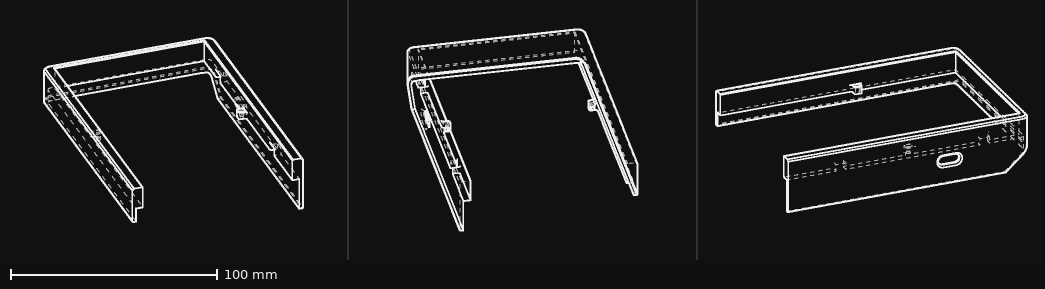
import cadquery as cq
LENGTH = 127.7
WIDTH = 88.3
SKIRT_DEPTH = 28.1
WALL_DEPTH = 18.6

WALL = 1.9
CORNER_RADIUS = 4.0
LIP_DEPTH = 11.4
ARM_WIDTH = 5.5
BACK_WIDTH = 3.3

TOP_OUTER_CHAMFER = 0.9
TOP_INNER_CHAMFER = 0.4
BOTTOM_CHAMFER = 0.4

SLOPE_START_DEPTH = 17.1
SLOPE_RUN = 12.5

BOSS_X_PLUS_Y = 61.0
BOSS_X_MINUS_Y = 56.2
BOSS_WIDTH = 4.0
BOSS_REACH = 3.8
BOSS_HEIGHT = 3.6
BOSS_HOLE_DIAMETER = 2.0
COUNTERSINK_DIAMETER = 3.6
COUNTERSINK_ANGLE = 90

NOTCH_SPACING = 76.1
NOTCH_WIDTH = 5.1
NOTCH_HEIGHT = 3.3

DETAIL_RADIUS = 1.0

SLOT_X = 42.3
SLOT_DEPTH = 15.8
SLOT_LENGTH = 11.2
SLOT_HEIGHT = 4.6
SLOT_CHAMFER = 1.0

HALF_WIDTH = WIDTH / 2
LIP_Y = HALF_WIDTH - ARM_WIDTH
LIP_REACH = ARM_WIDTH - WALL
PAST_END = 2 * LENGTH


def block(x_min, x_max, y_min, y_max, z_min, z_max):
    """Box given by its limits."""
    box = cq.Workplane("XY").box(x_max - x_min, y_max - y_min, z_max - z_min, centered=False)
    return box.translate((x_min, y_min, z_min))


def make_body():
    """Solid body with rounded back corners, a sloped back end and bevelled outer edges."""
    body = block(0, LENGTH, -HALF_WIDTH, HALF_WIDTH, -SKIRT_DEPTH, 0)
    body = body.edges("|Z and <X").fillet(CORNER_RADIUS)
    below_slope = (
        cq.Workplane("XZ")
        .polyline([(0, -SLOPE_START_DEPTH), (SLOPE_RUN, -SKIRT_DEPTH), (0, -SKIRT_DEPTH)])
        .close()
        .extrude(HALF_WIDTH, both=True)
    )
    body = body.cut(below_slope)
    body = body.faces(">Z").edges("not >X").chamfer(TOP_OUTER_CHAMFER)
    slope_edges = body.faces("<(1, 0, 1)").edges("not <Z")
    bottom_edges = body.faces("<Z").edges("not |Y")
    return slope_edges.add(bottom_edges).chamfer(BOTTOM_CHAMFER)


def make_frame():
    """U-shaped wall, deeper on +Y, with a thicker lip along its top."""
    below_wall = block(0, LENGTH, -HALF_WIDTH, LIP_Y, -SKIRT_DEPTH, -WALL_DEPTH)
    side_wall_bevel = (
        cq.Workplane("YZ", origin=(0, -HALF_WIDTH, -WALL_DEPTH))
        .polyline([(0, 0), (BOTTOM_CHAMFER, 0), (0, BOTTOM_CHAMFER)])
        .close()
        .extrude(LENGTH)
    )
    frame = make_body().cut(below_wall).cut(side_wall_bevel)
    cavity = block(WALL, PAST_END, WALL - HALF_WIDTH, HALF_WIDTH - WALL, -SKIRT_DEPTH, -LIP_DEPTH)
    cavity = cavity.edges("|Z and <X").fillet(CORNER_RADIUS - WALL)
    opening = block(BACK_WIDTH, PAST_END, -LIP_Y, LIP_Y, -SKIRT_DEPTH, 0)
    opening_bevel = (
        cq.Workplane("XY", origin=(LENGTH, 0, -TOP_INNER_CHAMFER))
        .rect(2 * (LENGTH - BACK_WIDTH), 2 * LIP_Y)
        .extrude(TOP_INNER_CHAMFER, taper=-45)
    )
    return frame.cut(cavity).cut(opening).cut(opening_bevel)


def cut_notch(frame, x):
    """Notch in the bottom of the +Y lip, with a rounded mouth."""
    x_min = x - NOTCH_WIDTH / 2
    x_max = x + NOTCH_WIDTH / 2
    z_max = NOTCH_HEIGHT - LIP_DEPTH
    notched = frame.cut(block(x_min, x_max, LIP_Y, LIP_Y + LIP_REACH, -LIP_DEPTH, z_max))
    margin = DETAIL_RADIUS / 2
    mouth = cq.selectors.BoxSelector(
        (x_min - margin, LIP_Y - margin, -LIP_DEPTH + margin),
        (x_max + margin, LIP_Y + margin, z_max + margin),
    )
    return notched.edges(mouth).fillet(DETAIL_RADIUS)


def make_boss():
    """Screw boss on the +Y lip at X = 0: flared at the lip, rounded at the tip, countersunk on top."""
    half = BOSS_WIDTH / 2
    r = DETAIL_RADIUS
    boss = (
        cq.Workplane("XY")
        .moveTo(half + r, 0)
        .radiusArc((half, -r), -r)
        .lineTo(half, r - BOSS_REACH)
        .radiusArc((half - r, -BOSS_REACH), r)
        .lineTo(r - half, -BOSS_REACH)
        .radiusArc((-half, r - BOSS_REACH), r)
        .lineTo(-half, -r)
        .radiusArc((-half - r, 0), -r)
        .close()
        .extrude(BOSS_HEIGHT)
    )
    boss = (
        boss.faces(">Z")
        .workplane(origin=(0, -BOSS_REACH / 2, 0))
        .cskHole(BOSS_HOLE_DIAMETER, COUNTERSINK_DIAMETER, COUNTERSINK_ANGLE)
    )
    return boss.translate((0, LIP_Y, -LIP_DEPTH))


def make_slot():
    """Round-ended slot that widens towards the outer face of the +Y wall."""
    outer_face = cq.Workplane("XZ", origin=(SLOT_X, HALF_WIDTH, -SLOT_DEPTH))
    slot = outer_face.slot2D(SLOT_LENGTH, SLOT_HEIGHT).extrude(WALL)
    mouth = outer_face.slot2D(
        SLOT_LENGTH + 2 * SLOT_CHAMFER, SLOT_HEIGHT + 2 * SLOT_CHAMFER
    ).extrude(SLOT_CHAMFER, taper=45)
    return slot.union(mouth)


result = make_frame()
for side in (-1, 1):
    result = cut_notch(result, BOSS_X_PLUS_Y + side * NOTCH_SPACING / 2)
result = result.cut(make_slot())
boss = make_boss()
result = result.union(boss.translate((BOSS_X_PLUS_Y, 0, 0)))
result = result.union(boss.mirror("XZ").translate((BOSS_X_MINUS_Y, 0, 0))).solids()